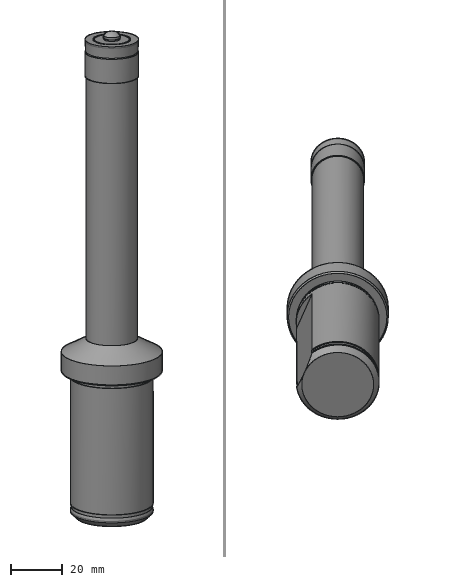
import cadquery as cq
import math

total_height = 195.0
rim_top = 2.7
rim_bottom = 2.1
groove_bottom = 3.9
groove_top = 5.3
flat_top = 53.0
neck_bottom = 56.2
flange_bottom = 58.1
flange_top = 66.3
cone_top = 71.5
head_bottom = 177.0
waist_bottom = 186.8
waist_edge = 187.2
head_edge = 191.3
head_top = 191.9
pin_neck_top = 192.5
pin_shoulder = 193.5

flange_radius = 19.5
shank_radius = 16.0
shank_neck_radius = 15.6
bottom_radius = 13.8
shaft_radius = 10.0
head_radius = 10.3
waist_radius = 10.1
pin_radius = 3.3
pin_neck_radius = 3.1

flange_chamfer = 0.5
flat_offset = 13.8
ring_outer_radius = 7.2
ring_inner_radius = 6.8
ring_depth = 0.4


def turned_body():
    """Revolve the half outline of the stepped body about Z."""
    outline = [
        (0, 0),
        (bottom_radius, 0),
        (shank_radius, rim_bottom),
        (shank_radius, rim_top),
        (shank_neck_radius, groove_bottom),
        (shank_neck_radius, groove_top),
        (shank_radius, groove_top),
        (shank_radius, neck_bottom),
        (shank_neck_radius, neck_bottom),
        (shank_neck_radius, flange_bottom),
        (flange_radius - flange_chamfer, flange_bottom),
        (flange_radius, flange_bottom + flange_chamfer),
        (flange_radius, flange_top),
        (shaft_radius, cone_top),
        (shaft_radius, head_bottom),
        (head_radius, head_bottom),
        (head_radius, waist_bottom),
        (waist_radius, waist_edge),
        (head_radius, head_edge),
        (head_radius, head_top),
        (pin_neck_radius, head_top),
        (pin_neck_radius, pin_neck_top),
        (pin_radius, pin_neck_top),
        (pin_radius, pin_shoulder),
    ]
    dome_height = total_height - pin_shoulder
    dome_radius = (pin_radius**2 + dome_height**2) / (2 * dome_height)
    dome_center = total_height - dome_radius
    half_angle = math.asin(pin_radius / dome_radius) / 2
    dome_midpoint = (
        dome_radius * math.sin(half_angle),
        dome_center + dome_radius * math.cos(half_angle),
    )
    return (
        cq.Workplane("XZ")
        .polyline(outline)
        .threePointArc(dome_midpoint, (0, total_height))
        .close()
        .revolve(360, (0, 0), (0, 1))
    )


def shank_flat():
    """Block that cuts a flat on the +Y side of the shank, up to a step below the neck."""
    return cq.Workplane("XY").box(
        2 * shank_radius, shank_radius, flat_top, centered=(True, False, False)
    ).translate((0, flat_offset, 0))


def face_ring():
    """Shallow ring groove in the end face of the head."""
    return (
        cq.Workplane("XY", origin=(0, 0, head_top - ring_depth))
        .circle(ring_outer_radius)
        .circle(ring_inner_radius)
        .extrude(ring_depth)
    )


result = turned_body().cut(shank_flat()).cut(face_ring())